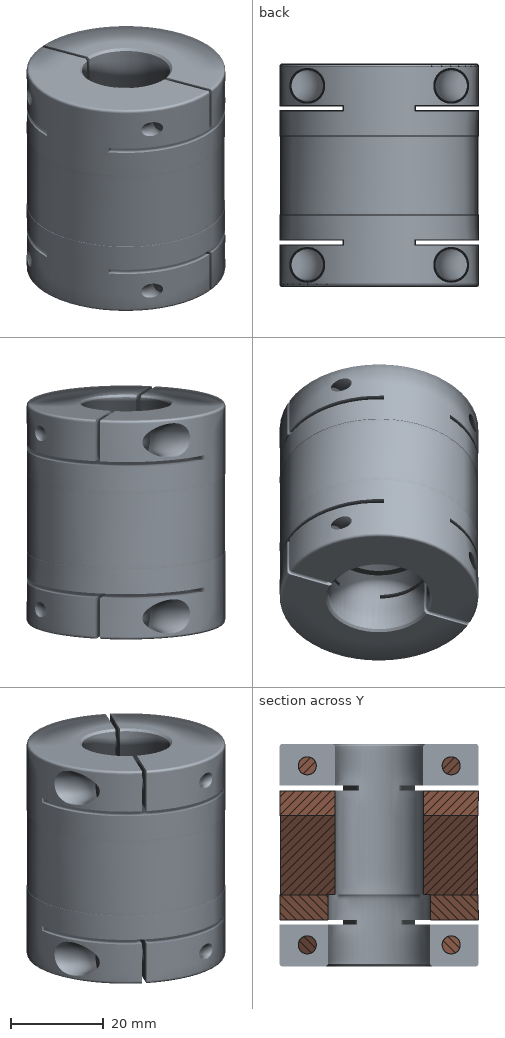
import cadquery as cq
import math

total_height = 48.0
half_height = total_height / 2
hub_diameter = 42.8
hub_radius = hub_diameter / 2
hub_height = 15.5
sleeve_diameter = 42.6
sleeve_height = total_height - 2 * hub_height

upper_bore_diameter = 19.0
lower_bore_diameter = 22.0
rim_radius = 0.6
bore_chamfer = 0.5

clamp_height = 9.0
split_width = 1.0
slot_height = 1.0
clamp_base = half_height - clamp_height
slot_base = clamp_base - slot_height

web_rim_half_width = 7.8
web_bore_half_width = 4.25

screw_offset = 15.5
screw_depth = 4.7
screw_level = half_height - screw_depth
screw_diameter = 4.0
screw_tip = -11.4
head_diameter = 7.0
head_height = 4.0
head_seat = 5.0
counterbore_diameter = 7.5
hole_exit_diameter = 3.3

cut_margin = 0.95


def rod(diameter, x, z, y_start, y_end):
    """Cylinder parallel to Y between two Y positions."""
    base = cq.Vector(x, y_start, z)
    along_y = cq.Vector(0, 1, 0)
    cylinder = cq.Solid.makeCylinder(diameter / 2, y_end - y_start, base, along_y)
    return cq.Workplane(obj=cylinder)


def tube(outer_diameter, bore_diameter, z_base, height):
    """Upright hollow cylinder centred on Z."""
    plane = cq.Workplane("XY").workplane(offset=z_base)
    return plane.circle(outer_diameter / 2).circle(bore_diameter / 2).extrude(height)


def make_screw(x, z):
    """Cap screw with its tip toward -Y."""
    shank = rod(screw_diameter, x, z, screw_tip, head_seat)
    head = rod(head_diameter, x, z, head_seat, head_seat + head_height)
    return shank.union(head)


def cut_screw_hole(hub, x, z):
    """Counterbore, shank hole and narrower open end for one screw."""
    counterbore = rod(counterbore_diameter, x, z, head_seat, hub_radius + cut_margin)
    shank_hole = rod(screw_diameter, x, z, screw_tip, head_seat)
    open_end = rod(hole_exit_diameter, x, z, -hub_radius - cut_margin, screw_tip)
    return hub.cut(counterbore).cut(shank_hole).cut(open_end)


def make_slot_cutter():
    """Flat disc with two tapering webs left out of it."""
    plane = cq.Workplane("XY").workplane(offset=slot_base)
    cutter = plane.circle(hub_radius + cut_margin).extrude(slot_height)

    rim_y = math.sqrt(hub_radius**2 - web_rim_half_width**2)
    bore_y = math.sqrt((upper_bore_diameter / 2) ** 2 - web_bore_half_width**2)
    taper = (web_rim_half_width - web_bore_half_width) / (rim_y - bore_y)
    center_half_width = web_bore_half_width - taper * bore_y
    end_y = hub_radius + 2 * cut_margin
    end_half_width = center_half_width + taper * end_y

    for side in (1, -1):
        web_corners = [
            (-center_half_width, 0),
            (center_half_width, 0),
            (end_half_width, side * end_y),
            (-end_half_width, side * end_y),
        ]
        cutter = cutter.cut(plane.polyline(web_corners).close().extrude(slot_height))
    return cutter


def make_hub(bore_diameter):
    """Clamping hub in the upper position, with its clamp end at the top."""
    hub = tube(hub_diameter, bore_diameter, half_height - hub_height, hub_height)

    largest_circle = cq.selectors.RadiusNthSelector(-1)
    smallest_circle = cq.selectors.RadiusNthSelector(0)
    hub = hub.faces(">Z").edges(largest_circle).fillet(rim_radius)
    hub = hub.faces(">Z").edges(smallest_circle).chamfer(bore_chamfer)

    hub = hub.cut(make_slot_cutter())
    plane = cq.Workplane("XY").workplane(offset=clamp_base)
    split_length = hub_diameter + 2 * cut_margin
    hub = hub.cut(plane.rect(split_length, split_width).extrude(clamp_height))

    for x in (-screw_offset, screw_offset):
        hub = cut_screw_hole(hub, x, screw_level)
    return hub


upper_hub = make_hub(upper_bore_diameter)
lower_hub = make_hub(lower_bore_diameter).mirror("XY")

sleeve = tube(sleeve_diameter, upper_bore_diameter, -sleeve_height / 2, sleeve_height)

screws = []
for x in (-screw_offset, screw_offset):
    for z in (-screw_level, screw_level):
        screws.append(make_screw(x, z).val())

result = cq.Compound.makeCompound([upper_hub.val(), lower_hub.val(), sleeve.val(), *screws])